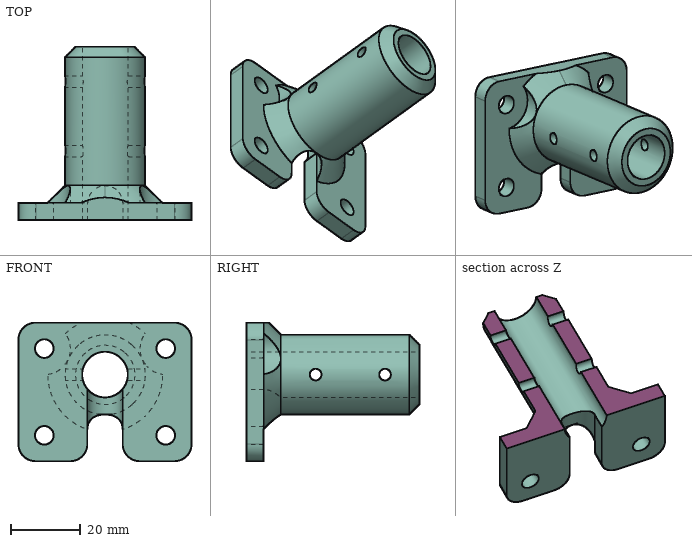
import cadquery as cq

plate_width = 50
plate_height = 40
plate_thickness = 5
corner_radius = 5

hole_diameter = 5.3
hole_inset = 7.5
clearance_radius = 7.45

total_length = 50
tube_diameter = 23.1
bore_diameter = 13.1
tip_chamfer = 3
axis_below_top = 15

flare_length = 5

slot_width = 10.1
slot_end_depth = 10

pin_diameter = 3.3
pin_first = 20
pin_spacing = 20

tube_radius = tube_diameter / 2
plate_top = axis_below_top
plate_bottom = plate_top - plate_height
middle_z = (plate_top + plate_bottom) / 2
flare_end = plate_thickness + flare_length
hole_x = plate_width / 2 - hole_inset
upper_hole_z = plate_top - hole_inset
lower_hole_z = plate_bottom + hole_inset


def cylinder_y(diameter, start, end, x=0, z=0):
    """Cylinder parallel to Y between two Y positions."""
    return cq.Workplane(
        obj=cq.Solid.makeCylinder(
            diameter / 2, end - start, cq.Vector(x, start, z), cq.Vector(0, 1, 0)
        )
    )


def make_plate():
    """Plate with a slot opening downward, all its open corners rounded."""
    plate = cq.Workplane().box(plate_width, plate_thickness, plate_height)
    plate = plate.translate((0, plate_thickness / 2, middle_z))
    slot = cq.Workplane().box(slot_width, plate_thickness, -plate_bottom)
    slot = slot.translate((0, plate_thickness / 2, plate_bottom / 2))
    plate = plate.cut(slot)
    return plate.edges("|Y").edges("<X or >X or <Z").fillet(corner_radius)


def make_flare():
    """45 degree cone, trimmed level with the top of the plate and around the upper holes."""
    cone = cq.Workplane(
        obj=cq.Solid.makeCone(
            tube_radius + flare_length,
            tube_radius,
            flare_length,
            cq.Vector(0, plate_thickness, 0),
            cq.Vector(0, 1, 0),
        )
    )
    trim = cq.Workplane().box(plate_width, total_length, plate_height)
    flare = cone.intersect(trim.translate((0, 0, middle_z)))
    for x in (-hole_x, hole_x):
        clearance = cylinder_y(2 * clearance_radius, plate_thickness, flare_end, x, upper_hole_z)
        flare = flare.cut(clearance)
    return flare


def make_tube():
    """Round tube with a chamfered free end."""
    tube = cylinder_y(tube_diameter, plate_thickness, total_length)
    return tube.faces(">Y").chamfer(tip_chamfer)


def make_cable_slot():
    """Round-ended slot from the plate face into the tube, open below the bore."""
    slot_radius = slot_width / 2
    round_center = slot_end_depth - slot_radius
    return (
        cq.Workplane("XY")
        .moveTo(-slot_radius, 0)
        .lineTo(-slot_radius, round_center)
        .threePointArc((0, slot_end_depth), (slot_radius, round_center))
        .lineTo(slot_radius, 0)
        .close()
        .extrude(plate_bottom)
    )


result = make_plate().union(make_flare()).union(make_tube())
result = result.cut(cylinder_y(bore_diameter, 0, total_length)).cut(make_cable_slot())

for x in (-hole_x, hole_x):
    for z in (lower_hole_z, upper_hole_z):
        result = result.cut(cylinder_y(hole_diameter, 0, plate_thickness, x, z))

for y in (pin_first, pin_first + pin_spacing):
    pin_hole = cq.Workplane("YZ").center(y, 0).circle(pin_diameter / 2)
    result = result.cut(pin_hole.extrude(tube_diameter, both=True))